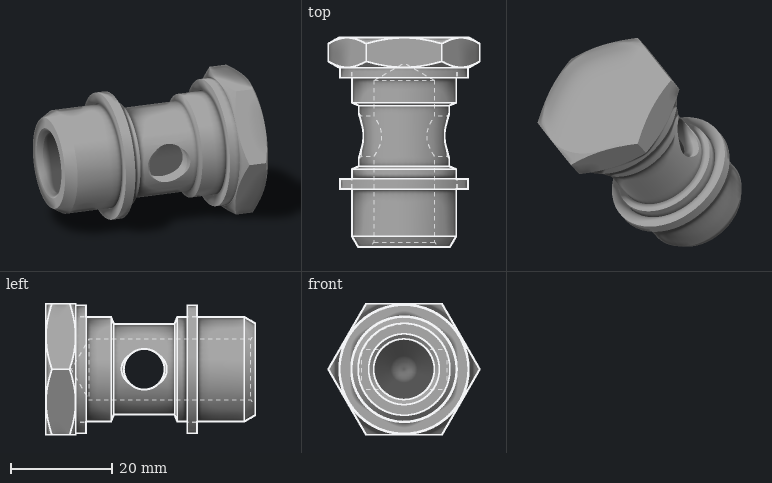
import cadquery as cq
import math


head_across_flats = 26.0
head_thickness = 6.0
head_chamfer_circle = 25.7
head_chamfer_angle = 30.0
head_across_corners = head_across_flats / math.cos(math.radians(30.0))

washer_outer_diameter = 25.4
washer_inner_diameter = 21.0
washer_thickness = 2.0
banjo_width = 20.0

shank_diameter = 20.7
shank_length = 35.5
tip_diameter = 18.2
tip_chamfer_angle = 30.0
tip_chamfer_length = (shank_diameter - tip_diameter) / 2 / math.tan(math.radians(tip_chamfer_angle))

neck_diameter = 18.0
neck_length = 12.0
neck_center = -13.5
shoulder_length = 0.55
neck_top = neck_center + neck_length / 2
neck_bottom = neck_center - neck_length / 2

bore_diameter = 12.0
bore_mouth_diameter = 14.0
bore_mouth_depth = (bore_mouth_diameter - bore_diameter) / 2
bore_depth = 33.0
drill_point_angle = 120.0
drill_point_length = bore_diameter / 2 / math.tan(math.radians(drill_point_angle / 2))

cross_hole_diameter = 8.0
cross_hole_chamfer = 0.5


def turned(profile):
    """Revolve (radius, y) points about the Y axis."""
    return cq.Workplane("XY").polyline(profile).close().revolve(360, (0, 0, 0), (0, 1, 0))


def make_head():
    """Hexagon with corners on the X axis, its corners turned to a cone at both ends."""
    hexagon = cq.Workplane("XZ").polygon(6, head_across_corners).extrude(-head_thickness)
    face_radius = head_chamfer_circle / 2
    corner_radius = head_across_corners / 2
    chamfer_height = (corner_radius - face_radius) * math.tan(math.radians(head_chamfer_angle))
    envelope = turned([
        (0, 0),
        (face_radius, 0),
        (corner_radius, chamfer_height),
        (corner_radius, head_thickness - chamfer_height),
        (face_radius, head_thickness),
        (0, head_thickness),
    ])
    return hexagon.intersect(envelope)


def make_shank():
    shank_radius = shank_diameter / 2
    neck_radius = neck_diameter / 2
    return turned([
        (0, 0),
        (shank_radius, 0),
        (shank_radius, neck_top + shoulder_length),
        (neck_radius, neck_top),
        (neck_radius, neck_bottom),
        (shank_radius, neck_bottom - shoulder_length),
        (shank_radius, -shank_length + tip_chamfer_length),
        (tip_diameter / 2, -shank_length),
        (0, -shank_length),
    ])


def make_bore():
    """Cutter for the bore, with its chamfered mouth and its drill point."""
    bore_end = -shank_length + bore_depth
    return turned([
        (0, -shank_length),
        (bore_mouth_diameter / 2, -shank_length),
        (bore_diameter / 2, -shank_length + bore_mouth_depth),
        (bore_diameter / 2, bore_end),
        (0, bore_end + drill_point_length),
    ])


def make_cross_hole():
    """Cutter along X through the neck, flaring at 45 degrees where it meets the neck surface."""
    hole_radius = cross_hole_diameter / 2
    mouth_radius = hole_radius + cross_hole_chamfer
    mouth_x = neck_diameter / 2
    flare_x = mouth_x - cross_hole_chamfer
    return (
        cq.Workplane("XY")
        .moveTo(-mouth_x, neck_center)
        .lineTo(-mouth_x, neck_center + mouth_radius)
        .lineTo(-flare_x, neck_center + hole_radius)
        .lineTo(flare_x, neck_center + hole_radius)
        .lineTo(mouth_x, neck_center + mouth_radius)
        .lineTo(mouth_x, neck_center)
        .close()
        .revolve(360, (0, neck_center, 0), (1, neck_center, 0))
    )


def make_bolt():
    return make_head().union(make_shank()).cut(make_bore()).cut(make_cross_hole())


def make_washer(top_y):
    """Flat ring whose head-side face lies at top_y."""
    return (
        cq.Workplane("XZ", origin=(0, top_y, 0))
        .circle(washer_outer_diameter / 2)
        .circle(washer_inner_diameter / 2)
        .extrude(washer_thickness)
    )


bolt = make_bolt()

washer_positions = [0.0, -(washer_thickness + banjo_width)]
washers = [make_washer(top_y) for top_y in washer_positions]

result = cq.Compound.makeCompound([bolt.val(), *[washer.val() for washer in washers]])